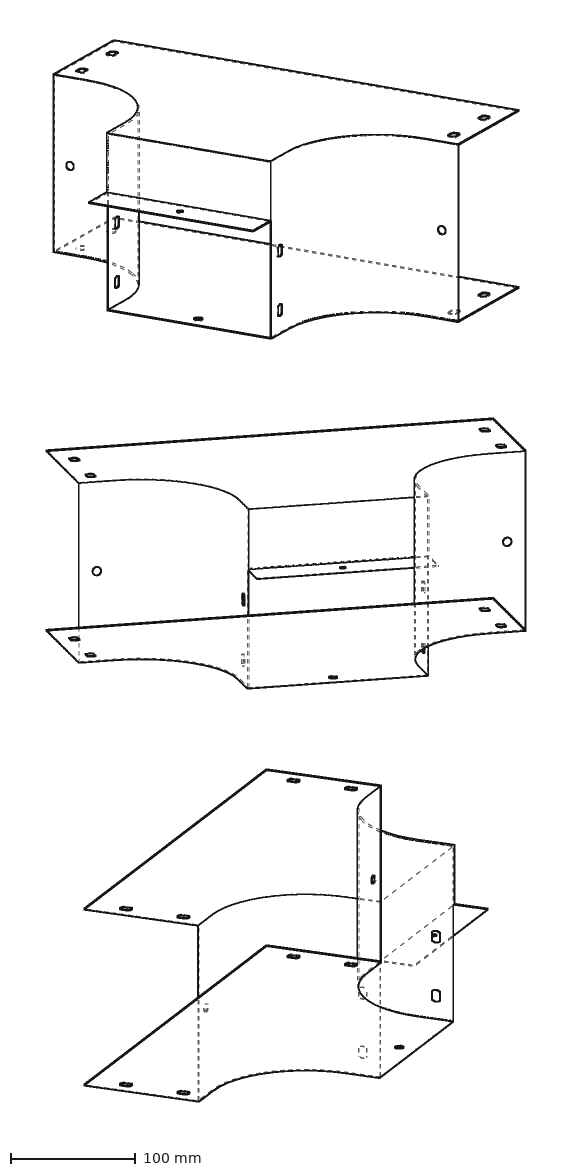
import cadquery as cq
import math

sheet = 1.0
run_length = 370.0
run_width = 100.0
branch_width = 150.0
height = 150.0
end_flat = 30.0
tab_height = 50.0
lip_depth = 30.0

half_run = run_length / 2
half_branch = branch_width / 2
flat_end_x = half_run - end_flat
corner_radius = flat_end_x - half_branch
corner_end_y = -(run_width + corner_radius)
branch_end = run_width + corner_radius + end_flat

slot_width = 7.0
slot_length = 10.0
slot_pitch = 50.0
first_slot = 30.0
first_branch_slot = 20.0
wall_hole_diameter = 7.0
floor_hole_diameter = 7.0
lip_hole_diameter = 5.0
end_inset = end_flat / 2
run_hole_x = half_run - end_inset
branch_hole_y = -(branch_end - end_inset)


def plate(base_z):
    """Flat tee-shaped plate with concave corners between run and branch."""
    return (
        cq.Workplane("XY", origin=(0, 0, base_z))
        .moveTo(-half_run, 0)
        .lineTo(half_run, 0)
        .lineTo(half_run, -run_width)
        .lineTo(flat_end_x, -run_width)
        .radiusArc((half_branch, corner_end_y), -corner_radius)
        .lineTo(half_branch, -branch_end)
        .lineTo(-half_branch, -branch_end)
        .lineTo(-half_branch, corner_end_y)
        .radiusArc((-flat_end_x, -run_width), -corner_radius)
        .lineTo(-half_run, -run_width)
        .close()
        .extrude(sheet)
    )


def corner_wall():
    """Curved wall on the +X side, its outer face flush with the plate edge."""
    return (
        cq.Workplane("XY")
        .moveTo(half_run, -run_width)
        .lineTo(flat_end_x, -run_width)
        .radiusArc((half_branch, corner_end_y), -corner_radius)
        .lineTo(half_branch, -branch_end)
        .lineTo(half_branch - sheet, -branch_end)
        .lineTo(half_branch - sheet, corner_end_y)
        .radiusArc((flat_end_x, -run_width + sheet), corner_radius + sheet)
        .lineTo(half_run, -run_width + sheet)
        .close()
        .extrude(height)
    )


def front_tab():
    """Angle bent down from the top plate, with a lip pointing forwards."""
    lip_bottom = height - tab_height - sheet
    tab_front = -(branch_end + sheet)
    lip_front = -(branch_end + lip_depth)
    return (
        cq.Workplane("YZ", origin=(-half_branch, 0, 0))
        .moveTo(-branch_end, height)
        .lineTo(tab_front, height)
        .lineTo(tab_front, lip_bottom + sheet)
        .lineTo(lip_front, lip_bottom + sheet)
        .lineTo(lip_front, lip_bottom)
        .lineTo(-branch_end, lip_bottom)
        .close()
        .extrude(branch_width)
    )


def slot_cutters(plane, centers, depth):
    """Slots with straight sides and shallow arc ends, upright in the given plane."""
    half_width = slot_width / 2
    half_side = math.sqrt((slot_length / 2) ** 2 - half_width**2)
    outline = (
        cq.Workplane("XY")
        .moveTo(half_width, -half_side)
        .lineTo(half_width, half_side)
        .threePointArc((0, slot_length / 2), (-half_width, half_side))
        .lineTo(-half_width, -half_side)
        .threePointArc((0, -slot_length / 2), (half_width, -half_side))
        .close()
        .wire()
        .val()
    )
    return plane.pushPoints(centers).eachpoint(outline, useLocalCoordinates=True).extrude(depth)


def run_slots():
    """Slots through both plates at the two ends of the run."""
    centers = [
        (side * run_hole_x, -(first_slot + row * slot_pitch))
        for side in (-1, 1)
        for row in range(2)
    ]
    return slot_cutters(cq.Workplane("XY"), centers, height)


def branch_slots():
    """Upright slots through both side walls at the branch end."""
    centers = [(branch_hole_y, first_branch_slot + row * slot_pitch) for row in range(2)]
    side_plane = cq.Workplane("YZ", origin=(-half_branch, 0, 0))
    return slot_cutters(side_plane, centers, branch_width)


def run_wall_holes():
    """Round holes through the wall flats at the run ends."""
    return (
        cq.Workplane("XZ", origin=(0, -run_width + sheet, 0))
        .pushPoints([(-run_hole_x, height / 2), (run_hole_x, height / 2)])
        .circle(wall_hole_diameter / 2)
        .extrude(sheet)
    )


def floor_hole():
    """Round hole through the bottom plate at the branch end."""
    return (
        cq.Workplane("XY")
        .center(0, branch_hole_y)
        .circle(floor_hole_diameter / 2)
        .extrude(sheet)
    )


def lip_hole():
    """Round hole in the middle of the front lip."""
    return (
        cq.Workplane("XY")
        .center(0, -(branch_end + lip_depth / 2))
        .circle(lip_hole_diameter / 2)
        .extrude(height)
    )


right_wall = corner_wall()
body = plate(0).union(plate(height - sheet))
body = body.union(right_wall).union(right_wall.mirror("YZ")).union(front_tab())
for cutter in (run_slots(), branch_slots(), run_wall_holes(), floor_hole(), lip_hole()):
    body = body.cut(cutter)
result = body